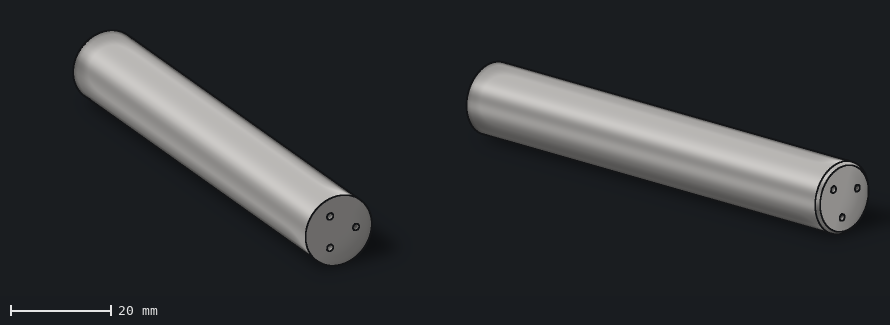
import cadquery as cq
import math

length = 100
diameter = 15
chamfer = 0.7

hole_count = 3
hole_diameter = 1.4
hole_circle_radius = 3.9
first_hole_angle = 39
helix_angle = 30

helix_lead = math.pi * diameter / math.tan(math.radians(helix_angle))
twist = 360 * length / helix_lead


def rod():
    """Plain rod, chamfered at its -X end only."""
    body = cq.Workplane("YZ").circle(diameter / 2).extrude(length)
    return body.faces("<X").chamfer(chamfer)


def coolant_hole(angle):
    """Right-handed helical hole along the whole rod, starting at the given angle."""
    start_y = hole_circle_radius * math.cos(math.radians(angle))
    start_z = hole_circle_radius * math.sin(math.radians(angle))
    section = cq.Workplane("YZ").moveTo(start_y, start_z).circle(hole_diameter / 2)
    return section.twistExtrude(length, twist)


result = rod()
for index in range(hole_count):
    result = result.cut(coolant_hole(first_hole_angle + index * 360 / hole_count))